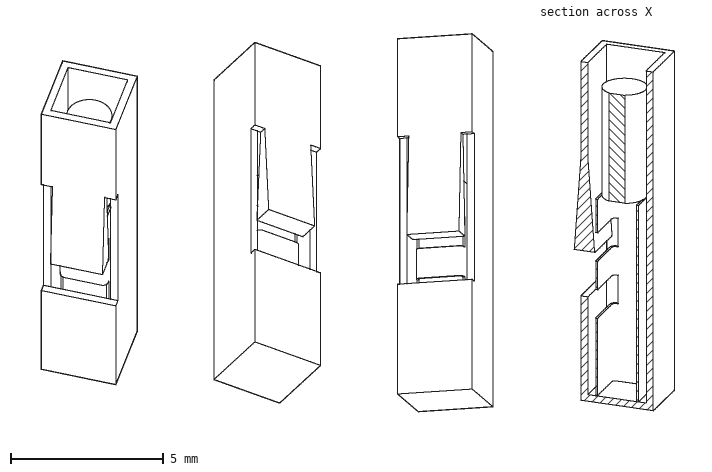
import cadquery as cq

HOUSING_WIDTH = 2.55
HOUSING_HEIGHT = 12.0
WALL = 0.25
FLOOR = WALL
WINDOW_BOTTOM = 3.71
WINDOW_TOP = 8.69
LANCE_WIDTH = 1.78
LANCE_BOTTOM = 5.3
LANCE_FLARE = 0.24

TUBE_WIDTH = 1.63
TUBE_DEPTH = 1.52
TUBE_CORNER_RADIUS = 0.18
TUBE_WALL = 0.07
BRIDGE_BOTTOM = 4.0
BRIDGE_TOP = 5.0
OPENING_DEPTH = 0.24
LOWER_OPENING_BOTTOM = 2.99
UPPER_OPENING_TOP = 6.01

BARREL_RADIUS = 0.75
BARREL_BOTTOM = 7.2
BARREL_TOP = 11.03

housing_front = -HOUSING_WIDTH / 2
bore_width = HOUSING_WIDTH - 2 * WALL
bore_front = -bore_width / 2
tube_front = -TUBE_DEPTH / 2


def upright_box(width, depth, bottom, top, center_y=0):
    """Box centred on X and on center_y, between two heights."""
    return (
        cq.Workplane("XY", origin=(0, center_y, bottom))
        .rect(width, depth)
        .extrude(top - bottom)
    )


def make_lance():
    """Flared profile in the YZ plane, as thick as the wall where it joins the window edge."""
    profile = [
        (bore_front, WINDOW_TOP),
        (housing_front, WINDOW_TOP),
        (housing_front - LANCE_FLARE, LANCE_BOTTOM),
        (bore_front + LANCE_FLARE, LANCE_BOTTOM),
    ]
    return (
        cq.Workplane("YZ")
        .polyline(profile)
        .close()
        .extrude(LANCE_WIDTH / 2, both=True)
    )


def make_housing():
    sleeve = upright_box(HOUSING_WIDTH, HOUSING_WIDTH, 0, HOUSING_HEIGHT)
    bore = upright_box(bore_width, bore_width, FLOOR, HOUSING_HEIGHT)
    window_center_y = (housing_front + bore_front) / 2
    window = upright_box(HOUSING_WIDTH, WALL, WINDOW_BOTTOM, WINDOW_TOP, window_center_y)
    return sleeve.cut(bore).cut(window).union(make_lance())


def make_tube():
    """Rounded open-ended tube with two openings in its front."""
    outside = upright_box(TUBE_WIDTH, TUBE_DEPTH, FLOOR, BARREL_BOTTOM)
    outside = outside.edges("|Z").fillet(TUBE_CORNER_RADIUS)
    inside = upright_box(
        TUBE_WIDTH - 2 * TUBE_WALL,
        TUBE_DEPTH - 2 * TUBE_WALL,
        FLOOR,
        BARREL_BOTTOM,
    )
    inside = inside.edges("|Z").fillet(TUBE_CORNER_RADIUS - TUBE_WALL)
    tube = outside.cut(inside)
    openings = [
        (LOWER_OPENING_BOTTOM, BRIDGE_BOTTOM),
        (BRIDGE_TOP, UPPER_OPENING_TOP),
    ]
    for bottom, top in openings:
        tube = tube.cut(upright_box(TUBE_WIDTH, 2 * OPENING_DEPTH, bottom, top, tube_front))
    return tube


def make_barrel():
    return (
        cq.Workplane("XY", origin=(0, 0, BARREL_BOTTOM))
        .circle(BARREL_RADIUS)
        .extrude(BARREL_TOP - BARREL_BOTTOM)
    )


def make_terminal():
    return make_tube().union(make_barrel())


housing = make_housing()
terminal = make_terminal()

result = cq.Compound.makeCompound([housing.val(), terminal.val()])